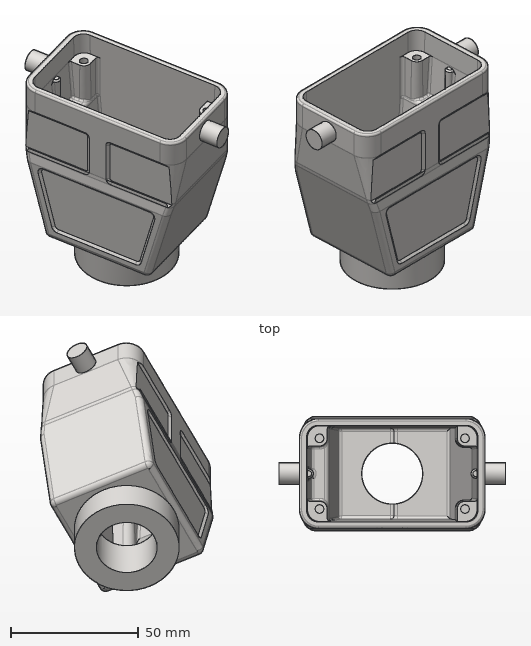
import cadquery as cq
total_height = 85.1
collar_top = 13.1
shoulder_bottom = 48.4
waist = 53.5
band_bottom = 74.0
post_top = 75.6
key_top = 74.9

band_half_x = 36.6
waist_half_x = 34.5
base_half_x = 24.0
side_slope = (waist_half_x - base_half_x) / (waist - collar_top)
shoulder_half_x = base_half_x + side_slope * (shoulder_bottom - collar_top)
upper_half_y = 21.6
lower_half_y = 22.5
band_corner_radius = 7.6
body_corner_radius = 2.5
base_fillet = 2.3
waist_blend = 0.9
rim_fillet = 0.9

collar_radius = 20.6
bore_radius = 11.95

peg_end_x = 44.6
peg_radius = 4.4
peg_z = 78.85
peg_root_x = band_half_x - 1.8

recess_depth = 0.9
panel_side_angle = 56
shield_side_angle = 51
panel_inner_x = 3.8
panel_outer_x = 44.6
panel_bottom = 52.7
panel_top = 74.2
panel_corner_radius = 2.2
shield_bottom = 17.75
shield_top = 47.8
shield_bottom_half_x = 20.25
shield_top_half_x = 27.9
shield_corner_radius = 2.7

rim_half_x = 33.7
rim_half_y = 19.0
mouth_corner_radius = 4.6
mouth_bottom_half_x = 33.4
floor_half_y = 17.8
low_floor = 15.6
wall_draft = (rim_half_y - floor_half_y) / (total_height - low_floor)
mouth_bottom_half_y = floor_half_y + wall_draft * (post_top - low_floor)
high_floor = 18.7
floor_step_x = 0.7
left_floor_x = -21.05
left_shelf_x = -25.0
left_shelf_wall_x = -31.75
shelf_z = 58.0
right_floor_x = 22.6
right_waist_x = 31.3
floor_fillet = 1.3
shelf_fillet = 1.1
shelf_lip_fillet = 1.8

post_inner_x = 25.6
post_inner_y = 10.9
post_draft = 1.0
post_long_wall_fillet = 1.3
post_short_wall_fillet = 0.9
post_corner_radius = 3.0
screw_radius = 1.7
screw_depth = 10.7
key_x = 32.9
key_radius = 1.9
key_tip_chamfer = 0.7
key_foot_fillet = 1.1

select_margin = 0.1


def rounded_rectangle(half_x, half_y, radius, z):
    """Closed wire of a rounded rectangle at height z."""
    sketch = cq.Sketch().rect(2 * half_x, 2 * half_y).vertices().fillet(radius).reset()
    return sketch.faces().vals()[0].outerWire().translate(cq.Vector(0, 0, z))


def section_between(start, end, rise):
    """Section (half x, half y, corner radius, z) at a height of rise from start towards end."""
    fraction = rise / abs(end[-1] - start[-1])
    return tuple(a + fraction * (b - a) for a, b in zip(start, end))


def round_edges_near(solid, points, radius):
    """Fillet the edge of the solid that lies nearest to each point."""
    edges = []
    for point in points:
        edges += solid.edges(cq.selectors.NearestToPointSelector(point)).vals()
    return solid.newObject(edges).fillet(radius)


def outer_shell():
    """Ruled shell: straight rim band, tapered waist, flared shoulder and narrowing body."""
    base = (base_half_x, lower_half_y, body_corner_radius, collar_top)
    shoulder = (shoulder_half_x, lower_half_y, body_corner_radius, shoulder_bottom)
    middle = (waist_half_x, upper_half_y, body_corner_radius, waist)
    band = (band_half_x, upper_half_y, band_corner_radius, band_bottom)
    rim = (band_half_x, upper_half_y, band_corner_radius, total_height)

    below_waist = section_between(middle, shoulder, waist_blend)
    above_waist = section_between(middle, band, waist_blend)

    sections = [base, shoulder, below_waist, above_waist, band, rim]
    wires = [rounded_rectangle(*section) for section in sections]
    shell = cq.Workplane(cq.Solid.makeLoft(wires, True)).clean()
    shell = shell.faces("<Z").edges().fillet(base_fillet)
    return shell.faces(">Z").edges().fillet(rim_fillet)


def front_recess(outline, corner_radius, face_half_y, side_angle):
    """Recess cutter with sloping sides, sunk into the -Y face; outline is in X and Z."""
    sketch = cq.Sketch().polygon(outline + outline[:1]).vertices().fillet(corner_radius)
    plane = cq.Workplane("XZ", origin=(0, -face_half_y, 0))
    return plane.placeSketch(sketch).extrude(-recess_depth, taper=side_angle)


def outside_recesses():
    """Two waist panels and one shield panel on each long face."""
    panel = front_recess(
        [
            (panel_inner_x, panel_bottom),
            (panel_outer_x, panel_bottom),
            (panel_outer_x, panel_top),
            (panel_inner_x, panel_top),
        ],
        panel_corner_radius,
        upper_half_y,
        panel_side_angle,
    )
    shield = front_recess(
        [
            (-shield_bottom_half_x, shield_bottom),
            (shield_bottom_half_x, shield_bottom),
            (shield_top_half_x, shield_top),
            (-shield_top_half_x, shield_top),
        ],
        shield_corner_radius,
        lower_half_y,
        shield_side_angle,
    )
    front = shield.add(panel).add(panel.mirror("YZ"))
    return front.vals() + front.mirror("XZ").vals()


def collar():
    """Round cable collar, reaching into the rounded base of the shell."""
    return cq.Workplane("XY").circle(collar_radius).extrude(collar_top + base_fillet)


def bore():
    """Cable passage through the collar and the cavity floor."""
    return cq.Workplane("XY").circle(bore_radius).extrude(high_floor + floor_fillet)


def pegs():
    """Locking pegs on both short ends, rooted inside the wall."""
    right = (
        cq.Workplane("YZ", origin=(peg_root_x, 0, peg_z))
        .circle(peg_radius)
        .extrude(peg_end_x - peg_root_x)
    )
    return right.union(right.mirror("YZ"))


def cavity_mouth():
    """Rounded opening above the screw posts."""
    sections = [
        (mouth_bottom_half_x, mouth_bottom_half_y, mouth_corner_radius, post_top),
        (rim_half_x, rim_half_y, mouth_corner_radius, total_height),
    ]
    wires = [rounded_rectangle(*section) for section in sections]
    return cq.Workplane(cq.Solid.makeLoft(wires, True))


def cavity_well():
    """Deep cavity: a stepped floor, a shelf on the -X side and a sloped wall on the +X side."""
    profile = [
        (left_floor_x, low_floor),
        (floor_step_x, low_floor),
        (floor_step_x, high_floor),
        (right_floor_x, high_floor),
        (right_waist_x, waist),
        (mouth_bottom_half_x, post_top),
        (-mouth_bottom_half_x, post_top),
        (left_shelf_wall_x, shelf_z),
        (left_shelf_x, shelf_z),
    ]
    lengthwise = cq.Workplane("XZ").polyline(profile).close().extrude(rim_half_y, both=True)
    crosswise = (
        cq.Workplane("YZ")
        .polyline(
            [
                (-floor_half_y, low_floor),
                (floor_half_y, low_floor),
                (mouth_bottom_half_y, post_top),
                (-mouth_bottom_half_y, post_top),
            ]
        )
        .close()
        .extrude(rim_half_x, both=True)
    )
    well = lengthwise.intersect(crosswise)
    shelf_lip = cq.selectors.NearestToPointSelector((left_shelf_x, 0, shelf_z))
    well = well.edges(shelf_lip).fillet(shelf_lip_fillet)
    shelf_wall_edge = cq.selectors.NearestToPointSelector((left_shelf_wall_x, 0, shelf_z))
    return well.edges(shelf_wall_edge).fillet(shelf_fillet)


def posts_and_keys():
    """Four corner screw posts and one wall key at the middle of each short end."""
    size_x = rim_half_x - post_inner_x
    size_y = rim_half_y - post_inner_y
    plan = (
        cq.Sketch()
        .rect(2 * size_x, 2 * size_y)
        .vertices()
        .fillet(post_corner_radius)
    )
    post = (
        cq.Workplane("XY", origin=(post_inner_x + size_x, post_inner_y + size_y, post_top))
        .placeSketch(plan)
        .extrude(-post_top, taper=-post_draft)
    )
    key = (
        cq.Workplane("XY")
        .center(key_x, 0)
        .circle(key_radius)
        .extrude(key_top)
        .faces(">Z")
        .chamfer(key_tip_chamfer)
    )
    right = post.union(post.mirror("XZ")).union(key)
    return right.union(right.mirror("YZ"))


def cavity_below_mouth():
    """Deep cavity around the posts and keys, with its inner corners rounded."""
    cavity = cavity_well().cut(posts_and_keys())

    left_middle_z = (shelf_z + post_top) / 2
    right_middle_z = (waist + post_top) / 2
    long_wall_corners = []
    short_wall_corners = []
    for side, middle_z in [(-1, left_middle_z), (1, right_middle_z)]:
        for end in (-1, 1):
            long_wall_corners.append((side * post_inner_x, end * floor_half_y, middle_z))
            short_wall_corners.append((side * right_waist_x, end * post_inner_y, middle_z))
    cavity = round_edges_near(cavity, long_wall_corners, post_long_wall_fillet)
    cavity = round_edges_near(cavity, short_wall_corners, post_short_wall_fillet)

    key_foot = (left_shelf_wall_x, 0, shelf_z)
    cavity = round_edges_near(cavity, [key_foot], key_foot_fillet)

    floor_edges = cq.selectors.BoxSelector(
        (left_shelf_x, -rim_half_y, low_floor - select_margin),
        (right_waist_x, rim_half_y, high_floor + select_margin),
    )
    return cavity.edges(floor_edges).fillet(floor_fillet)


def screw_holes():
    """Blind screw holes in the tops of the four posts."""
    hole_x = post_inner_x + post_corner_radius
    hole_y = post_inner_y + post_corner_radius
    return (
        cq.Workplane("XY", origin=(0, 0, post_top - screw_depth))
        .rect(2 * hole_x, 2 * hole_y, forConstruction=True)
        .vertices()
        .circle(screw_radius)
        .extrude(screw_depth)
    )


result = outer_shell().union(collar())
for recess in outside_recesses():
    result = result.cut(cq.Workplane(recess))
result = (
    result.union(pegs())
    .cut(cavity_mouth())
    .cut(cavity_below_mouth())
    .cut(bore())
    .cut(screw_holes())
)